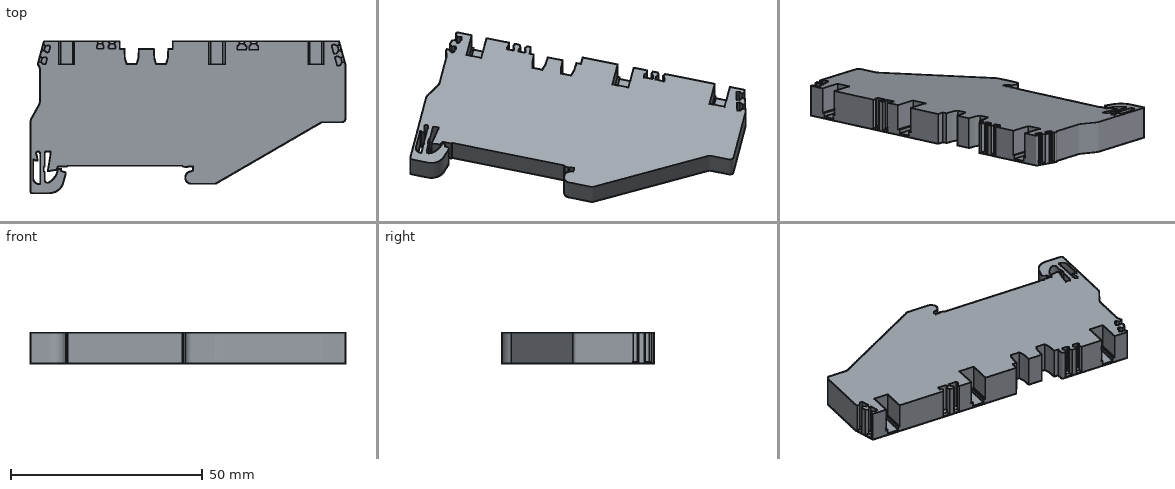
import cadquery as cq
import math

length = 82.4
width = 39.8
thickness = 8.1
floor_thickness = 0.55
overshoot = 0.3

top_left_x = 3.5
top_right_x = 80.7
left_wing_x = 1.9
left_wing_y = 33.8
right_wing_y = 33.7
left_wall_x = 2.45
left_wall_top_y = 32.7
shoulder_top_y = 23.6
shoulder_bottom_y = 19.15
shoulder_radius = 1.9
right_base_y = 18.55
right_base_start_x = 76.15
foot_base_y = 2.47
foot_base_end_x = 48.4
corner_radius = 0.5
base_bend_radius = 1.0
right_corner_radius = 1.0
top_corner_radius = 0.4
wing_radius = 0.6
wing_root_radius = 0.8

rail_y = 7.17
rail_lip_y = 6.95
rail_lip_start_x = 7.2
rail_lip_ramp = 0.22
rail_start_x = 9.75
rail_end_x = 39.7
hook_base_x = 4.9
hook_radius = 3.9
hook_sweep = math.radians(68)
hook_tip_arc = ((9.2, 4.9), (9.2, 5.35), (8.9, 5.6))
hook_barb = ((8.05, 5.85), (8.05, 6.4), (7.15, 6.4))
foot_mouth = ((40.9, 6.8), (41.3, 7.0), (42.5, 7.0), (42.5, 6.0), (41.9, 5.75))
foot_curve = ((40.45, 4.1), (42.3, foot_base_y))

slot_bowl_curve = ((6.2, 4.05), (4.65, 2.8))
slot_bowl_end = ((4.1, 2.85), (3.75, 3.3))
slot_outer_wall = ((3.75, 5.5), (3.5, 5.8), (3.5, 6.8), (3.75, 7.1), (3.75, 10.6))
slot_top_corner = ((3.84, 10.81), (4.05, 10.9))
slot_inner_wall = ((5.25, 10.9), (5.15, 9.7), (4.5, 5.75), (6.8, 6.1))
slit_bottom = (2.5, 2.5)
slit_top_arc = ((2.5, 10.45), (2.0, 10.9), (1.5, 10.45))
slit_stop_wall = ((1.75, 9.6), (1.9, 8.55), (1.3, 8.55), (0.75, 8.9), (0.75, 3.8))
slit_bottom_arc = ((1.15, 2.95), (1.9, 2.5))

notch_left_x = 23.4
notch_right_x = 37.2
notch_step_y = 37.8
notch_floor_y = 33.85
notch_taper_y = 35.4
notch_half_width = 1.85
notch_waist_half_width = 1.75
notch_floor_half_width = 1.3
notch_centres_x = (34.15, 26.45)

slot_end_y = 33.7
slot_ledge_height = 1.5
slots = (
    (7.45, 7.95, 11.1, 11.4),
    (46.6, 47.15, 50.35, 50.9),
    (72.65, 73.0, 76.15, 76.7),
)

pocket_neck_depth = 0.72
pocket_neck_half_width = 0.55
pocket_belly_depth = 1.4
pocket_sill_height = 0.3
straight_mouth = 0.78
flared_mouth = 1.02
wide_belly = {"belly": 1.22, "end": 1.15, "depth": 2.2}
slim_belly = {"belly": 0.95, "end": 0.7, "depth": 2.0}
left_pockets_x = (18.24, 21.34)
right_pockets_x = (55.3, 58.4)
side_pockets_y = (35.05, 38.15)


def polyline(path, points):
    """Extend the path with straight segments through the points."""
    for point in points:
        path = path.lineTo(*point)
    return path


def add_hook(path):
    """Outer curve and tip of the snap hook, starting from the flat bottom."""
    def hook_point(angle):
        return (hook_base_x + hook_radius * math.sin(angle), hook_radius * (1 - math.cos(angle)))

    path = path.threePointArc(hook_point(hook_sweep / 2), hook_point(hook_sweep))
    path = path.lineTo(*hook_tip_arc[0]).threePointArc(*hook_tip_arc[1:])
    return polyline(path, hook_barb)


def add_flex_slot(path):
    """Slot between the hook and the body, open at the hook barb."""
    path = path.threePointArc(*slot_bowl_curve).threePointArc(*slot_bowl_end)
    path = polyline(path, slot_outer_wall)
    path = path.threePointArc(*slot_top_corner)
    return polyline(path, slot_inner_wall)


def add_rail_seat(path):
    """Long recess for the rail, with a shallow lip at each end."""
    return polyline(path, [
        (rail_lip_start_x, rail_lip_y),
        (rail_start_x - rail_lip_ramp, rail_lip_y),
        (rail_start_x, rail_y),
        (rail_end_x, rail_y),
        (rail_end_x + rail_lip_ramp, rail_lip_y),
    ])


def add_notches(path):
    """Stepped recess in the +Y edge with its two tapered notches, from right to left."""
    path = polyline(path, [(notch_right_x, width), (notch_right_x, notch_step_y)])
    half_notch = [
        (notch_half_width, notch_step_y),
        (notch_waist_half_width, notch_taper_y),
        (notch_floor_half_width, notch_floor_y),
    ]
    for centre in notch_centres_x:
        path = polyline(path, [(centre + half, y) for half, y in half_notch])
        path = polyline(path, [(centre - half, y) for half, y in reversed(half_notch)])
    return polyline(path, [(notch_left_x, notch_step_y), (notch_left_x, width)])


def outline():
    """Closed outline of the body, counterclockwise from the bottom-left corner."""
    path = cq.Workplane("XY").moveTo(0, 0).lineTo(hook_base_x, 0)
    path = add_hook(path)
    path = add_flex_slot(path)
    path = add_rail_seat(path)
    path = polyline(path, foot_mouth)
    path = path.threePointArc(*foot_curve)
    path = polyline(path, [
        (foot_base_end_x, foot_base_y),
        (right_base_start_x, right_base_y),
        (length, right_base_y),
        (length, right_wing_y),
        (top_right_x, width),
    ])
    path = add_notches(path)
    path = polyline(path, [
        (top_left_x, width),
        (left_wing_x, left_wing_y),
        (left_wall_x, left_wall_top_y),
        (left_wall_x, shoulder_top_y),
        (0, shoulder_bottom_y),
    ])
    return path.close()


def round_edge(body, x, y, radius):
    """Fillet the vertical edge standing at (x, y)."""
    reach = 0.05
    box = cq.selectors.BoxSelector((x - reach, y - reach, 0), (x + reach, y + reach, thickness))
    return body.edges("|Z").edges(box).fillet(radius)


def flex_slit():
    """Closed through slit beside the left edge."""
    slit = cq.Workplane("XY").moveTo(*slit_bottom).lineTo(*slit_top_arc[0])
    slit = slit.threePointArc(*slit_top_arc[1:])
    slit = polyline(slit, slit_stop_wall)
    slit = slit.threePointArc(*slit_bottom_arc).lineTo(*slit_bottom).close()
    return slit.extrude(thickness)


def block(x_min, x_max, y_min, y_max, z_min, z_max):
    """Axis-aligned box given by its limits."""
    box = cq.Workplane("XY").box(x_max - x_min, y_max - y_min, z_max - z_min, centered=False)
    return box.translate((x_min, y_min, z_min))


def stepped_slot(outer_left, inner_left, inner_right, outer_right):
    """Slot open at the +Y edge, with a narrower deeper channel along its floor."""
    y_limits = (slot_end_y, width + overshoot)
    upper = block(outer_left, outer_right, *y_limits, slot_ledge_height, thickness)
    lower = block(inner_left, inner_right, *y_limits, floor_thickness, thickness)
    return upper.union(lower)


def marker_pocket(mouth, shape, x, y, turn):
    """Waisted blind pocket with its mouth at (x, y); at turn 0 the mouth faces +Y."""
    half_profile = [
        (mouth, overshoot),
        (mouth, 0),
        (pocket_neck_half_width, -pocket_neck_depth),
        (shape["belly"], -pocket_belly_depth),
        (shape["belly"], -(pocket_belly_depth + shape["depth"]) / 2),
        (shape["end"], -shape["depth"]),
    ]
    mirrored = [(-px, py) for px, py in reversed(half_profile)]
    profile = cq.Workplane("XY").polyline(half_profile + mirrored).close()
    pocket = profile.extrude(thickness - floor_thickness).translate((0, 0, floor_thickness))
    mouth_profile = half_profile[:3] + mirrored[-3:]
    mouth_prism = cq.Workplane("XY").polyline(mouth_profile).close().extrude(thickness)
    wedge_section = [
        (-pocket_neck_depth, floor_thickness),
        (0, pocket_sill_height),
        (overshoot, pocket_sill_height),
        (overshoot, thickness),
        (-pocket_neck_depth, thickness),
    ]
    wedge = cq.Workplane("YZ").polyline(wedge_section).close().extrude(2 * mouth, both=True)
    pocket = pocket.union(mouth_prism.intersect(wedge))
    return pocket.rotate((0, 0, 0), (0, 0, 1), turn).translate((x, y, 0))


def edge_pockets():
    """Pockets along the +Y edge and along the two slanted wing edges."""
    mouths = (straight_mouth, flared_mouth)
    cutters = []
    for xs, shape in ((left_pockets_x, slim_belly), (right_pockets_x, wide_belly)):
        for x, mouth in zip(xs, mouths):
            cutters.append(marker_pocket(mouth, shape, x, width, 0))
    left_lean = (top_left_x - left_wing_x) / (width - left_wing_y)
    right_lean = (length - top_right_x) / (width - right_wing_y)
    left_turn = 90 - math.degrees(math.atan(left_lean))
    right_turn = math.degrees(math.atan(right_lean)) - 90
    for y, mouth in zip(side_pockets_y, mouths):
        left_x = top_left_x - left_lean * (width - y)
        right_x = top_right_x + right_lean * (width - y)
        cutters.append(marker_pocket(mouth, slim_belly, left_x, y, left_turn))
        cutters.append(marker_pocket(mouth, wide_belly, right_x, y, right_turn))
    return cutters


result = outline().extrude(thickness)
rounded_corners = (
    (0, 0, corner_radius),
    (foot_base_end_x, foot_base_y, base_bend_radius),
    (right_base_start_x, right_base_y, base_bend_radius),
    (length, right_base_y, right_corner_radius),
    (notch_left_x, width, corner_radius),
    (top_left_x, width, top_corner_radius),
    (left_wing_x, left_wing_y, wing_radius),
    (left_wall_x, left_wall_top_y, wing_root_radius),
    (left_wall_x, shoulder_top_y, shoulder_radius),
    (0, shoulder_bottom_y, shoulder_radius),
)
for corner in rounded_corners:
    result = round_edge(result, *corner)

result = result.cut(flex_slit())
for slot in slots:
    result = result.cut(stepped_slot(*slot))
for cutter in edge_pockets():
    result = result.cut(cutter)